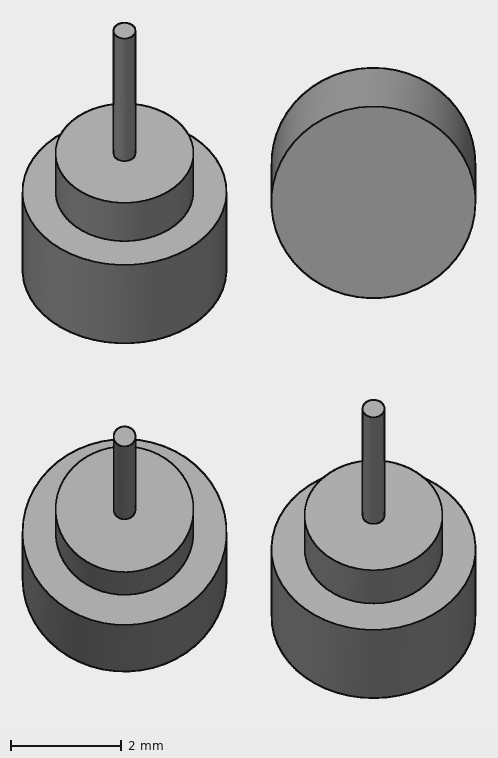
import cadquery as cq

base_diameter = 3.7
base_height = 2.05
collar_diameter = 2.5
collar_height = 1.0
pin_diameter = 0.4
total_height = 6.25
pin_length = total_height - base_height - collar_height


def add_cylinder(body, diameter, height):
    """Stack a concentric cylinder on the top face of the body."""
    return body.faces(">Z").workplane().circle(diameter / 2).extrude(height)


base = cq.Workplane("XY").circle(base_diameter / 2).extrude(base_height)

base_with_collar = add_cylinder(base, collar_diameter, collar_height)
result = add_cylinder(base_with_collar, pin_diameter, pin_length)